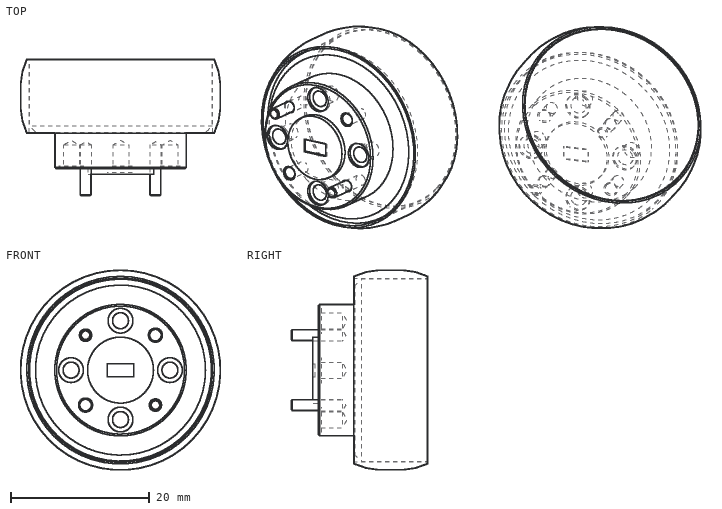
import cadquery as cq
import math


RING_RADIUS = 14.48
SHOULDER_RADIUS = 14.22
RING_END_RADIUS = 13.58
RING_WIDTH = 10.7
SHOULDER_WIDTH = RING_WIDTH / 3
BORE_RADIUS = 13.3

CORE_RADIUS = 13.2
CORE_RECESS = 0.15
CORE_FRONT = RING_WIDTH - CORE_RECESS
CORE_CHAMFER = 0.9

FLANGE_RADIUS = 9.53
FLANGE_FRONT = 15.87
FLANGE_CHAMFER = 0.25
FACE_RADIUS = 4.78
FACE_HEIGHT = 0.78

GUIDE_WIDTH = 3.76
GUIDE_HEIGHT = GUIDE_WIDTH / 2
GUIDE_DEPTH = 0.3

HOLE_CIRCLE_RADIUS = 7.15
DRILL_POINT_ANGLE = 118.0
SCREW_HOLE_RADIUS = 1.15
SCREW_HOLE_DEPTH = 3.48
COUNTERBORE_RADIUS = 1.8
COUNTERBORE_DEPTH = 0.43
SOCKET_RADIUS = 0.85
SOCKET_CHAMFER = 0.17
SOCKET_DEPTH = 3.48
PIN_DIAMETER = 1.6
PIN_RADIUS = PIN_DIAMETER / 2
PIN_FRONT = 19.75
PIN_SEAT_DEPTH = 3.48
PIN_TIP_CHAMFER = 0.17
PIN_MOUTH_CHAMFER = 0.1

SCREW_ANGLES = [0, 90, 180, 270]
SOCKET_ANGLES = [45, 225]
PIN_ANGLES = [135, 315]


def circle_position(angle):
    """Point (X, Z) on the hole circle."""
    turn = math.radians(angle)
    return HOLE_CIRCLE_RADIUS * math.cos(turn), HOLE_CIRCLE_RADIUS * math.sin(turn)


def disc(radius, back, front):
    """Cylinder on the Y axis between two depths."""
    return cq.Workplane("XZ", origin=(0, -back, 0)).circle(radius).extrude(front - back)


def turned(outline, angle):
    """Revolve an outline of (radius, depth) points and set it on the hole circle."""
    x, z = circle_position(angle)
    points = [(radius, -depth) for radius, depth in outline]
    return cq.Workplane("XY").polyline(points).close().revolve(360, (0, 0), (0, 1)).translate((x, 0, z))


def drill_point_length(radius):
    """Length of the cone left by a drill of the given radius."""
    return radius / math.tan(math.radians(DRILL_POINT_ANGLE / 2))


def make_ring():
    facet_width = SHOULDER_WIDTH / 2
    half_outline = [
        (RING_END_RADIUS, 0),
        (SHOULDER_RADIUS, facet_width),
        (RING_RADIUS, SHOULDER_WIDTH),
    ]
    mirrored = [(radius, RING_WIDTH - depth) for radius, depth in reversed(half_outline)]
    outline = [(BORE_RADIUS, 0), *half_outline, *mirrored, (BORE_RADIUS, RING_WIDTH)]
    points = [(-depth, radius) for radius, depth in outline]
    return cq.Workplane("YZ").polyline(points).close().revolve(360, (0, 0), (1, 0))


def make_core():
    return disc(CORE_RADIUS, 0, CORE_FRONT).faces("<Y").chamfer(CORE_CHAMFER)


def screw_hole(angle):
    """Counterbored blind hole with a drill point."""
    bottom = FLANGE_FRONT - SCREW_HOLE_DEPTH
    tip = bottom - drill_point_length(SCREW_HOLE_RADIUS)
    shelf = FLANGE_FRONT - COUNTERBORE_DEPTH
    return turned(
        [
            (0, tip),
            (SCREW_HOLE_RADIUS, bottom),
            (SCREW_HOLE_RADIUS, shelf),
            (COUNTERBORE_RADIUS, shelf),
            (COUNTERBORE_RADIUS, FLANGE_FRONT),
            (0, FLANGE_FRONT),
        ],
        angle,
    )


def socket_hole(angle):
    """Blind hole with a drill point and a chamfered mouth."""
    bottom = FLANGE_FRONT - SOCKET_DEPTH
    tip = bottom - drill_point_length(SOCKET_RADIUS)
    return turned(
        [
            (0, tip),
            (SOCKET_RADIUS, bottom),
            (SOCKET_RADIUS, FLANGE_FRONT - SOCKET_CHAMFER),
            (SOCKET_RADIUS + SOCKET_CHAMFER, FLANGE_FRONT),
            (0, FLANGE_FRONT),
        ],
        angle,
    )


def pin_hole(angle):
    """Flat-bottomed seat for a pin with a chamfered mouth."""
    bottom = FLANGE_FRONT - PIN_SEAT_DEPTH
    return turned(
        [
            (0, bottom),
            (PIN_RADIUS, bottom),
            (PIN_RADIUS, FLANGE_FRONT - PIN_MOUTH_CHAMFER),
            (PIN_RADIUS + PIN_MOUTH_CHAMFER, FLANGE_FRONT),
            (0, FLANGE_FRONT),
        ],
        angle,
    )


def make_flange():
    flange = disc(FLANGE_RADIUS, CORE_FRONT, FLANGE_FRONT).faces("<Y").chamfer(FLANGE_CHAMFER)
    face_front = FLANGE_FRONT + FACE_HEIGHT
    flange = flange.union(disc(FACE_RADIUS, FLANGE_FRONT, face_front))
    guide_floor = face_front - GUIDE_DEPTH
    guide = (
        cq.Workplane("XZ", origin=(0, -guide_floor, 0))
        .rect(GUIDE_WIDTH, GUIDE_HEIGHT)
        .extrude(GUIDE_DEPTH)
    )
    flange = flange.cut(guide)
    for angle in SCREW_ANGLES:
        flange = flange.cut(screw_hole(angle))
    for angle in SOCKET_ANGLES:
        flange = flange.cut(socket_hole(angle))
    for angle in PIN_ANGLES:
        flange = flange.cut(pin_hole(angle))
    return flange


def make_pin(angle):
    x, z = circle_position(angle)
    pin = disc(PIN_RADIUS, FLANGE_FRONT - PIN_SEAT_DEPTH, PIN_FRONT)
    return pin.faces("<Y").chamfer(PIN_TIP_CHAMFER).translate((x, 0, z))


ring = make_ring()
core = make_core()
flange = make_flange()
pins = [make_pin(angle) for angle in PIN_ANGLES]

result = cq.Compound.makeCompound([ring.val(), core.val(), flange.val(), *[pin.val() for pin in pins]])